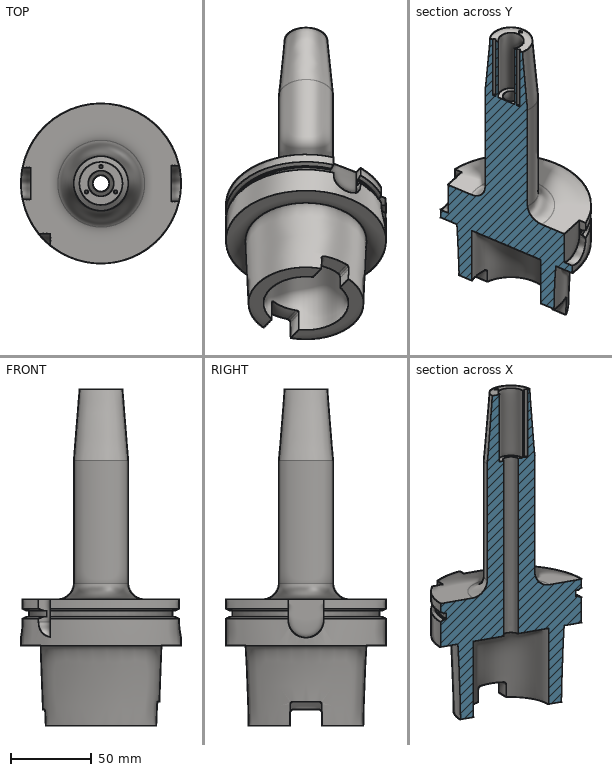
import cadquery as cq
import math

total_height = 210.0
taper_height = 50.0
flange_height = 29.0
nose_height = 44.3
flange_top = taper_height + flange_height
nose_base = total_height - nose_height

taper_end_radius = 36.0
taper_base_radius = 37.8
flange_radius = 50.0
groove_radius = 46.0
shank_radius = 17.0
nose_tip_radius = 13.5
neck_fillet = 10.0

rim_thickness = 5.9
groove_opening = 6.3
groove_side_rise = 1.3
groove_side_run = 2.5

cavity_radius = 26.5
tool_bore_radius = 8.0
coolant_radius = 5.0

jet_count = 3
jet_radius = 1.0
jet_circle_radius = 10.5
first_jet_angle = 90

notch_width = 19.7
left_notch_height = 10.0
right_notch_height = 15.1
notch_corner_radius = 1.9

slot_depth = 24.0
slot_width = 19.7
wide_slot_width = 22.3
slot_floor = 43.9
corner_slot_floor = 31.5
corner_slot_y = -41.2


def turned_body():
    """Taper, grooved flange, filleted neck, shank and conical nose in one revolve."""
    groove_top = flange_top - rim_thickness
    groove_bottom = groove_top - groove_opening
    groove_side_radius = flange_radius - groove_side_run
    arc_offset = neck_fillet * (1 - math.sqrt(0.5))
    profile = (
        cq.Workplane("XZ")
        .lineTo(taper_end_radius, 0)
        .lineTo(taper_base_radius, taper_height)
        .lineTo(flange_radius, taper_height)
        .lineTo(flange_radius, groove_bottom)
        .lineTo(groove_side_radius, groove_bottom + groove_side_rise)
        .lineTo(groove_radius, groove_bottom + groove_side_rise)
        .lineTo(groove_radius, groove_top - groove_side_rise)
        .lineTo(groove_side_radius, groove_top - groove_side_rise)
        .lineTo(flange_radius, groove_top)
        .lineTo(flange_radius, flange_top)
        .lineTo(shank_radius + neck_fillet, flange_top)
        .threePointArc(
            (shank_radius + arc_offset, flange_top + arc_offset),
            (shank_radius, flange_top + neck_fillet),
        )
        .lineTo(shank_radius, nose_base)
        .lineTo(nose_tip_radius, total_height)
        .lineTo(0, total_height)
        .close()
    )
    return profile.revolve(360, (0, 0, 0), (0, 1, 0))


def cylinder(radius, bottom, height):
    """Upright cylinder on the main axis."""
    return cq.Workplane("XY", origin=(0, 0, bottom)).circle(radius).extrude(height)


def coolant_jets():
    """Ring of small holes as deep as the nose."""
    return (
        cq.Workplane("XY", origin=(0, 0, nose_base))
        .polarArray(jet_circle_radius, first_jet_angle, 360, jet_count)
        .circle(jet_radius)
        .extrude(nose_height)
    )


def drive_notch(side, height):
    """Notch through the taper wall on the +X (side = 1) or -X (side = -1) side."""
    return (
        cq.Workplane("YZ")
        .rect(notch_width, 2 * height)
        .extrude(side * flange_radius)
        .edges("|X and >Z")
        .fillet(notch_corner_radius)
    )


def flange_slot(side, floor, center_y, width):
    """Slot with a half-round bottom, open to the flange top and to one X side."""
    radius = width / 2
    bottom = flange_top - slot_depth
    return (
        cq.Workplane("YZ", origin=(side * floor, center_y, 0))
        .moveTo(-radius, flange_top)
        .lineTo(-radius, bottom + radius)
        .threePointArc((0, bottom), (radius, bottom + radius))
        .lineTo(radius, flange_top)
        .close()
        .extrude(side * flange_radius)
    )


result = (
    turned_body()
    .cut(cylinder(coolant_radius, 0, total_height))
    .cut(cylinder(cavity_radius, 0, taper_height))
    .cut(cylinder(tool_bore_radius, nose_base, nose_height))
    .cut(coolant_jets())
    .cut(drive_notch(-1, left_notch_height))
    .cut(drive_notch(1, right_notch_height))
    .cut(flange_slot(-1, slot_floor, 0, slot_width))
    .cut(flange_slot(1, slot_floor, 0, wide_slot_width))
    .cut(flange_slot(-1, corner_slot_floor, corner_slot_y, slot_width))
)